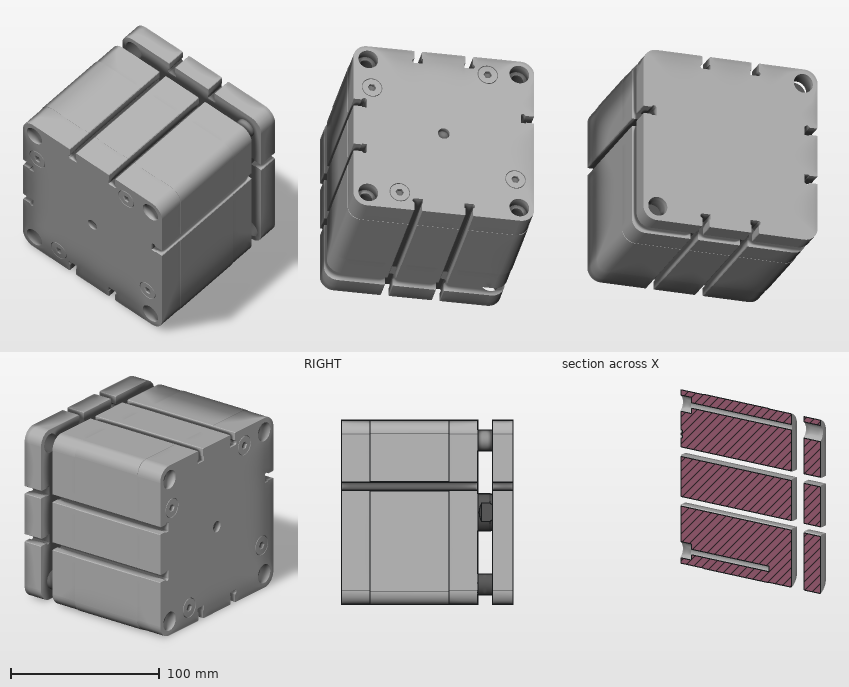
import cadquery as cq
import math


side = 124.0
cap_inset = 0.1
total_length = 115.5
plate_thickness = 14.0
stroke_gap = 9.8
cap_length = 19.2
cap_corner_radius = 9.4
barrel_corner_radius = 8.9

slot_offset = 17.5
slot_mouth = 5.2
slot_neck_depth = 5.8
slot_depth = 9.3
slot_outer_undercut = 1.2
slot_inner_undercut = 0.6
slot_undercut_chamfer = 1.0
slot_lip_chamfer = 0.5

mount_offset = 51.7
mount_bore = 13.5
mount_bore_depth = 8.5
mount_hole = 8.4

guide_offset = 48.4
guide_diameter = 14.0

piston_rod_diameter = 25.0
piston_rod_flat_width = 21.8
flat_runout_start = 1.0
rod_end_taper = 0.5
rod_end_taper_length = 1.6

screw_far = 49.1
screw_near = 30.1
screw_bore = 14.0
screw_head = 13.0
screw_gap_depth = 1.2
socket_across_flats = 5.0
socket_depth = 2.5

port_diameter = 8.0
port_depth = 4.0

half_side = side / 2
cap_side = side - 2 * cap_inset
body_length = total_length - plate_thickness - stroke_gap
barrel_length = body_length - 2 * cap_length
rear_cap_start = cap_length + barrel_length
plate_start = body_length + stroke_gap


def plane_at(y):
    """Workplane across the stroke at y: local x is X, local y is Z; a negative extrusion runs toward +Y."""
    return cq.Workplane(cq.Plane(origin=(0, y, 0), xDir=(1, 0, 0), normal=(0, -1, 0)))


def rod(x, z, diameter, start, length):
    """Cylinder along Y, used for rods and as a cutter for holes."""
    return plane_at(start).center(x, z).circle(diameter / 2).extrude(-length)


def rounded_block(width, start, length, corner_radius):
    block = plane_at(start).rect(width, width).extrude(-length)
    return block.edges("|Y").fillet(corner_radius)


def sensor_slot(turn, mirrored):
    """T-slot in the top face, wider on its outer flank, turned about Y to another face."""
    outer = -slot_offset - slot_mouth / 2
    inner = -slot_offset + slot_mouth / 2
    outer_wall = outer - slot_outer_undercut
    inner_wall = inner + slot_inner_undercut
    neck = half_side - slot_neck_depth
    floor = half_side - slot_depth
    points = [
        (outer - slot_lip_chamfer, half_side),
        (outer, half_side - slot_lip_chamfer),
        (outer, neck),
        (outer_wall, neck - slot_outer_undercut),
        (outer_wall, floor + slot_undercut_chamfer),
        (outer_wall + slot_undercut_chamfer, floor),
        (inner_wall, floor),
        (inner_wall, neck),
        (inner, neck),
        (inner, half_side - slot_lip_chamfer),
        (inner + slot_lip_chamfer, half_side),
    ]
    if mirrored:
        points = [(-x, z) for x, z in points]
    slot = plane_at(0).polyline(points).close().extrude(-total_length)
    return slot.rotate((0, 0, 0), (0, 1, 0), turn)


def piston_rod():
    """Piston rod in the gap, tapered at the plate, with a wrench flat on each X side."""
    radius = piston_rod_diameter / 2
    half_flat = piston_rod_flat_width / 2
    flat_depth = radius - half_flat
    profile = [
        (0, body_length),
        (radius, body_length),
        (radius, plate_start - rod_end_taper_length),
        (radius - rod_end_taper, plate_start),
        (0, plate_start),
    ]
    shaft = cq.Workplane("XY").polyline(profile).close().revolve(360, (0, 0, 0), (0, 1, 0))
    runout = body_length + flat_runout_start
    flat_profile = [
        (radius, runout),
        (half_flat, runout + flat_depth),
        (half_flat, plate_start),
        (radius, plate_start),
    ]
    flat = cq.Workplane("XY").polyline(flat_profile).close().extrude(radius, both=True)
    return shaft.cut(flat).cut(flat.mirror("YZ"))


def screw_cut(x, z):
    """Gap around a flush screw head, and its hexagon socket."""
    ring = plane_at(0).center(x, z).circle(screw_bore / 2).circle(screw_head / 2)
    gap = ring.extrude(-screw_gap_depth)
    across_corners = socket_across_flats / math.cos(math.pi / 6)
    socket = plane_at(0).center(x, z).polygon(6, across_corners).extrude(-socket_depth)
    return gap.union(socket)


result = rounded_block(cap_side, 0, cap_length, cap_corner_radius)
result = result.union(rounded_block(side, cap_length, barrel_length, barrel_corner_radius))
result = result.union(rounded_block(cap_side, rear_cap_start, cap_length, cap_corner_radius))
result = result.union(rounded_block(cap_side, plate_start, plate_thickness, cap_corner_radius))

slots = [
    (0, False), (0, True),
    (180, False), (180, True),
    (-90, False), (-90, True),
    (90, False),
]
for turn, mirrored in slots:
    result = result.cut(sensor_slot(turn, mirrored))

for sign in (-1, 1):
    guide = rod(sign * guide_offset, sign * guide_offset, guide_diameter, body_length, stroke_gap)
    result = result.union(guide)
result = result.union(piston_rod())

for sign_x in (-1, 1):
    for sign_z in (-1, 1):
        x = sign_x * mount_offset
        z = sign_z * mount_offset
        result = result.cut(rod(x, z, mount_bore, 0, mount_bore_depth))
        if sign_x == sign_z:
            result = result.cut(rod(x, z, mount_hole, 0, rear_cap_start))
        else:
            result = result.cut(rod(x, z, mount_hole, 0, body_length))
            result = result.cut(rod(x, z, mount_bore, plate_start, plate_thickness))

for sign in (-1, 1):
    result = result.cut(screw_cut(sign * screw_near, sign * screw_far))
    result = result.cut(screw_cut(sign * screw_far, -sign * screw_near))
result = result.cut(rod(0, 0, port_diameter, 0, port_depth))